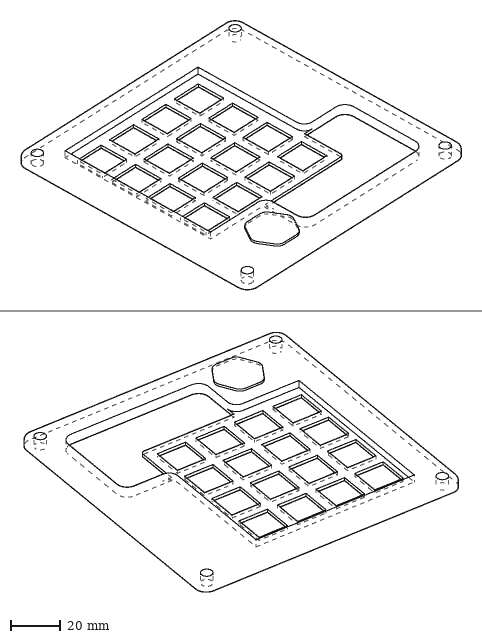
import cadquery as cq
import math


side = 129.0
plate_height = 5.0
corner_radius = 5.3
top_edge_radius = 2.0

screw_diameter = 5.0
screw_inset = 6.2

keys_per_side = 4
key_size = 14.0
key_pitch = 19.1
key_grid_center = (53.8, 52.8)
floor_thickness = 1.5
field_left = 13.4
field_right = 94.2
field_bottom = 15.0
field_top = 93.3
field_corner_radius = 1.5

window_left = 72.6
window_right = 116.7
window_bottom = 47.2
window_top = 116.7
window_corner_radius = 5.0
lip_radius = 4.4

pad_center = (111.3, 32.9)
pad_across_flats = 20.5
pad_corner_radius = 4.0
pad_rise = 1.0


def box_between(left, right, bottom, top, z_low, z_high):
    """Box given by its limits along each axis."""
    box = cq.Workplane("XY").box(right - left, top - bottom, z_high - z_low, centered=False)
    return box.translate((left, bottom, z_low))


def vertical_edge_at(x, y):
    """Selector for the vertical edge that stands at (x, y)."""
    reach = 0.1
    return cq.selectors.BoxSelector((x - reach, y - reach, 0), (x + reach, y + reach, plate_height))


def make_plate():
    plate = box_between(0, side, 0, side, 0, plate_height)
    plate = plate.edges("|Z").fillet(corner_radius)
    return plate.faces(">Z").edges().fillet(top_edge_radius)


def make_opening():
    """Space removed for the key field recess and the through window together."""
    recess = box_between(field_left, field_right, field_bottom, field_top, 0, plate_height)
    window = box_between(window_left, window_right, window_bottom, window_top, 0, plate_height)
    window_corners = [
        (window_left, window_top),
        (window_right, window_top),
        (window_right, window_bottom),
    ]
    lips = [(window_left, field_top), (field_right, window_bottom)]
    opening = recess.union(window)
    for corner in window_corners:
        opening = opening.edges("|Z").edges(vertical_edge_at(*corner)).fillet(window_corner_radius)
    for lip in lips:
        opening = opening.edges("|Z").edges(vertical_edge_at(*lip)).fillet(lip_radius)
    return opening


def make_key_floor():
    floor = box_between(field_left, field_right, field_bottom, field_top, 0, floor_thickness)
    floor = floor.edges(vertical_edge_at(field_right, field_top)).fillet(field_corner_radius)
    keys = (
        cq.Workplane("XY")
        .center(*key_grid_center)
        .rarray(key_pitch, key_pitch, keys_per_side, keys_per_side)
        .rect(key_size, key_size)
        .extrude(floor_thickness)
    )
    return floor.cut(keys)


def make_lip_base():
    """Material under the rounded lips, level with the key floor and square to the window."""
    left_base = box_between(
        window_left - lip_radius, window_left, field_top, field_top + lip_radius, 0, floor_thickness
    )
    right_base = box_between(
        field_right, field_right + lip_radius, window_bottom - lip_radius, window_bottom, 0, floor_thickness
    )
    return left_base.union(right_base)


def make_screw_holes():
    spacing = side - 2 * screw_inset
    return (
        cq.Workplane("XY")
        .center(side / 2, side / 2)
        .rect(spacing, spacing, forConstruction=True)
        .vertices()
        .circle(screw_diameter / 2)
        .extrude(plate_height)
    )


def make_pad():
    across_corners = pad_across_flats / math.cos(math.pi / 6)
    pad = cq.Workplane("XY").polygon(6, across_corners).extrude(pad_rise)
    pad = pad.edges("|Z").fillet(pad_corner_radius)
    pad = pad.rotate((0, 0, 0), (0, 0, 1), 90)
    return pad.translate((*pad_center, plate_height))


result = (
    make_plate()
    .cut(make_opening())
    .union(make_key_floor())
    .union(make_lip_base())
    .cut(make_screw_holes())
    .union(make_pad())
)